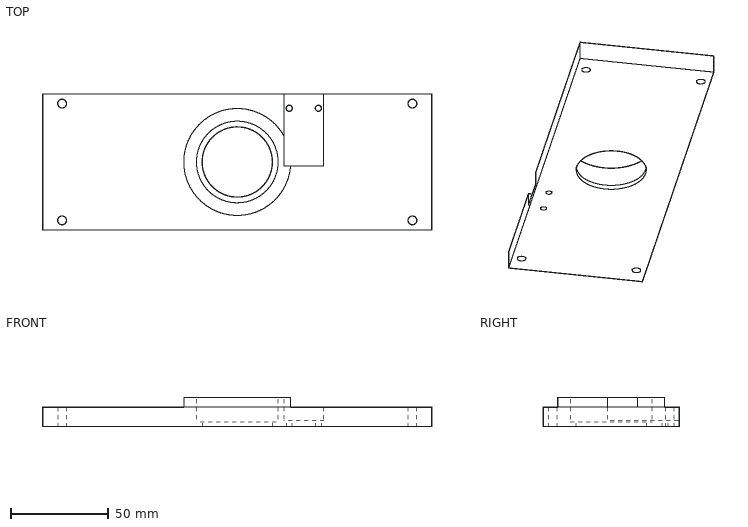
import cadquery as cq

plate_length = 200.0
plate_width = 70.0
plate_thickness = 10.0

ring_diameter = 55.0
ring_height = 5.0
seat_diameter = 42.0
bore_diameter = 36.0
bore_lip_thickness = 2.5

corner_hole_diameter = 4.5
corner_hole_inset = 10.0
corner_hole_edge_distance = 5.0

pocket_left = 24.0
pocket_width = 20.5
pocket_front = -2.0
pocket_depth = 7.0
pocket_hole_diameter = 3.0
pocket_hole_spacing = 15.0
pocket_hole_edge_distance = 7.5

total_height = plate_thickness + ring_height
pocket_floor = plate_thickness - pocket_depth
pocket_center_x = pocket_left + pocket_width / 2


def cylinder(diameter, bottom, top):
    """Upright cylinder on the ring axis."""
    return cq.Workplane("XY").workplane(offset=bottom).circle(diameter / 2).extrude(top - bottom)


def through_holes(points, diameter):
    """Upright cylinders spanning the full plate thickness."""
    return cq.Workplane("XY").pushPoints(points).circle(diameter / 2).extrude(plate_thickness)


plate = cq.Workplane("XY").box(plate_length, plate_width, plate_thickness, centered=(True, True, False))
body = plate.union(cylinder(ring_diameter, 0, total_height))

pocket = cq.Workplane("XY").box(
    pocket_width, plate_width / 2 - pocket_front, total_height - pocket_floor, centered=False
).translate((pocket_left, pocket_front, pocket_floor))
body = body.cut(pocket)

body = body.cut(cylinder(bore_diameter, 0, total_height))
body = body.cut(cylinder(seat_diameter, bore_lip_thickness, total_height))

corner_x = plate_length / 2 - corner_hole_inset
corner_y = plate_width / 2 - corner_hole_edge_distance
corner_points = [(x, y) for x in (-corner_x, corner_x) for y in (-corner_y, corner_y)]
body = body.cut(through_holes(corner_points, corner_hole_diameter))

pocket_hole_y = plate_width / 2 - pocket_hole_edge_distance
pocket_points = [(pocket_center_x + side * pocket_hole_spacing / 2, pocket_hole_y) for side in (-1, 1)]
result = body.cut(through_holes(pocket_points, pocket_hole_diameter))